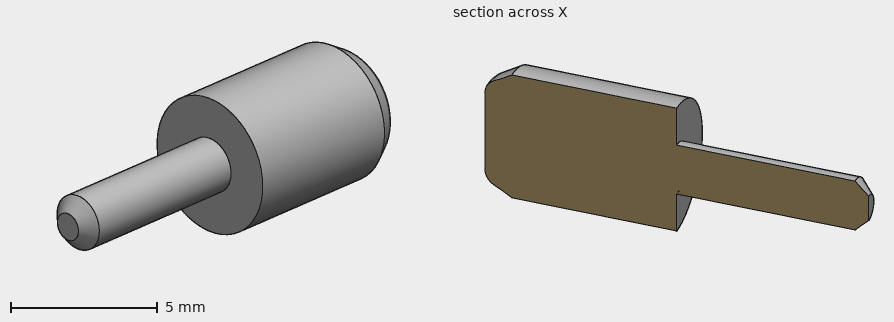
import cadquery as cq
import math

total_length = 14.0
head_diameter = 5.0
head_length = 7.0
pin_diameter = 2.0
pin_chamfer = 0.5
head_taper_length = 1.0
head_taper_angle = 30.0
head_end_radius = 0.65

head_radius = head_diameter / 2
pin_radius = pin_diameter / 2
shoulder_y = total_length - head_length
taper_start_y = total_length - head_taper_length
taper_depth = head_taper_length * math.tan(math.radians(head_taper_angle))

profile = (
    cq.Workplane("XY")
    .moveTo(0, 0)
    .lineTo(pin_radius - pin_chamfer, 0)
    .lineTo(pin_radius, pin_chamfer)
    .lineTo(pin_radius, shoulder_y)
    .lineTo(head_radius, shoulder_y)
    .lineTo(head_radius, taper_start_y)
    .lineTo(head_radius - taper_depth, total_length)
    .lineTo(0, total_length)
    .close()
)
stepped_pin = profile.revolve(360, (0, 0, 0), (0, 1, 0))

result = stepped_pin.faces(">Y").edges().fillet(head_end_radius)